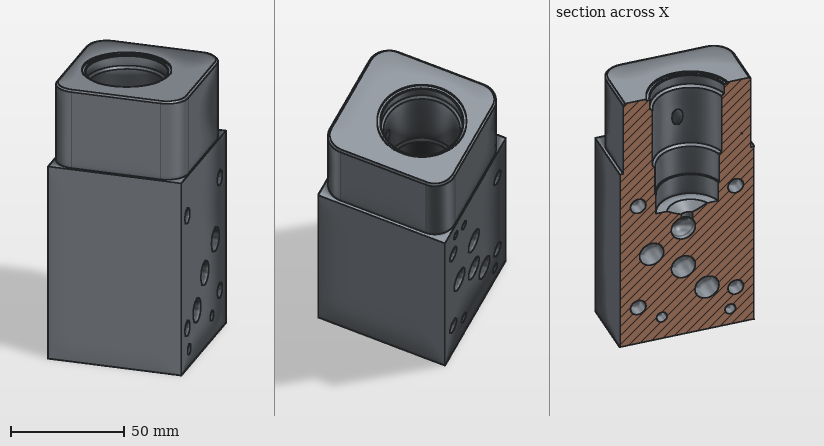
import cadquery as cq
import math

block_x = 62.0
block_y = 63.5
block_height = 92.1

total_height = 129.4
housing_x = 61.0
housing_y = 60.4
housing_corner_radius = 9.7
housing_chamfer = 0.9

cavity_x = -4.8
rim_radius = 19.8
rim_depth = 0.8
mouth_radius = 18.5
thread_radius = 18.1
thread_depth = 5.7
upper_bore_radius = 17.0
upper_bore_depth = 36.2
middle_bore_radius = 15.8
middle_bore_depth = 51.8
lower_bore_radius = 15.4
cavity_depth = 62.1
seat_radius = 10.6
pilot_radius = 5.4
pilot_depth = 74.0
drill_half_angle = math.radians(59)

side_passage_diameter = 5.2
side_passage_top_z = 111.7
side_passage_length = 15.5
side_passage_slope = math.radians(50)

mount_diameter = 7.1
mount_y = 23.0
mount_z_low = 19.1
mount_z_high = 73.1

port_diameter = 11.1
through_ports = [(16.7, 46.0), (1.7, 35.8), (-9.5, 22.4)]
blind_port = (1.7, 56.4)
blind_port_depth = 33.6

pin_diameter = 4.8
through_pins = [(11.9, 11.4), (-20.5, 8.2)]

pilot_hole_diameter = 4.0
blind_pilot = (20.5, 84.1)
blind_pilot_depth = 13.0
slanted_pilot = (11.9, 81.0)
slanted_pilot_depth = 15.5
slant_angle = math.radians(30)

left_face_x = -block_x / 2
inward = cq.Vector(1, 0, 0)


def drill_tip_height(radius):
    """Height of the cone left by a drill of the given radius."""
    return radius / math.tan(drill_half_angle)


def make_body():
    block = cq.Workplane("XY").box(block_x, block_y, block_height, centered=(True, True, False))
    housing = (
        cq.Workplane("XY")
        .workplane(offset=block_height)
        .rect(housing_x, housing_y)
        .extrude(total_height - block_height)
        .edges("|Z")
        .fillet(housing_corner_radius)
        .faces(">Z")
        .chamfer(housing_chamfer)
    )
    return block.union(housing)


def make_cavity():
    """Revolved cavity: points are (radius, depth below the top face)."""
    seat_height = drill_tip_height(seat_radius) - drill_tip_height(pilot_radius)
    profile = [
        (0, 0),
        (rim_radius, 0),
        (rim_radius, rim_depth),
        (mouth_radius, rim_depth),
        (thread_radius, rim_depth + mouth_radius - thread_radius),
        (thread_radius, thread_depth),
        (upper_bore_radius, thread_depth + thread_radius - upper_bore_radius),
        (upper_bore_radius, upper_bore_depth),
        (middle_bore_radius, upper_bore_depth + upper_bore_radius - middle_bore_radius),
        (middle_bore_radius, middle_bore_depth),
        (lower_bore_radius, middle_bore_depth + middle_bore_radius - lower_bore_radius),
        (lower_bore_radius, cavity_depth),
        (seat_radius, cavity_depth),
        (pilot_radius, cavity_depth + seat_height),
        (pilot_radius, pilot_depth),
        (0, pilot_depth + drill_tip_height(pilot_radius)),
    ]
    points = [(radius, -depth) for radius, depth in profile]
    cavity = cq.Workplane("XZ").polyline(points).close().revolve(360, (0, 0), (0, 1))
    return cavity.translate((cavity_x, 0, total_height))


def through_hole(place, diameter):
    """Hole along X through the whole block."""
    start = cq.Vector(left_face_x, *place)
    return cq.Workplane(cq.Solid.makeCylinder(diameter / 2, block_x, start, inward))


def round_ended_hole(start, direction, diameter, length):
    """Blind hole of the given straight length, closed by a hemisphere."""
    radius = diameter / 2
    end = start + direction * length
    shaft = cq.Workplane(cq.Solid.makeCylinder(radius, length, start, direction))
    return shaft.union(cq.Workplane("XY").sphere(radius).translate(end))


def blind_hole(place, diameter, depth, direction=inward):
    """Blind hole in the -X face, begun outside so that a slanted mouth is complete."""
    start = cq.Vector(left_face_x, *place) - direction * diameter
    return round_ended_hole(start, direction, diameter, depth + diameter)


def make_side_passage():
    """Slanted passage, begun inside the cavity so that its mouth is complete."""
    direction = cq.Vector(math.cos(side_passage_slope), 0, -math.sin(side_passage_slope))
    mouth_half_height = side_passage_diameter / 2 / math.cos(side_passage_slope)
    mouth_x = cavity_x + upper_bore_radius
    mouth = cq.Vector(mouth_x, 0, side_passage_top_z - mouth_half_height)
    lead = 2 * side_passage_diameter
    start = mouth - direction * lead
    return round_ended_hole(start, direction, side_passage_diameter, lead + side_passage_length)


result = make_body().cut(make_cavity()).cut(make_side_passage())

for y in (-mount_y, mount_y):
    for z in (mount_z_low, mount_z_high):
        result = result.cut(through_hole((y, z), mount_diameter))
for place in through_ports:
    result = result.cut(through_hole(place, port_diameter))
for place in through_pins:
    result = result.cut(through_hole(place, pin_diameter))

slant = cq.Vector(math.cos(slant_angle), math.sin(slant_angle), 0)
result = result.cut(blind_hole(blind_port, port_diameter, blind_port_depth))
result = result.cut(blind_hole(blind_pilot, pilot_hole_diameter, blind_pilot_depth))
result = result.cut(blind_hole(slanted_pilot, pilot_hole_diameter, slanted_pilot_depth, slant))